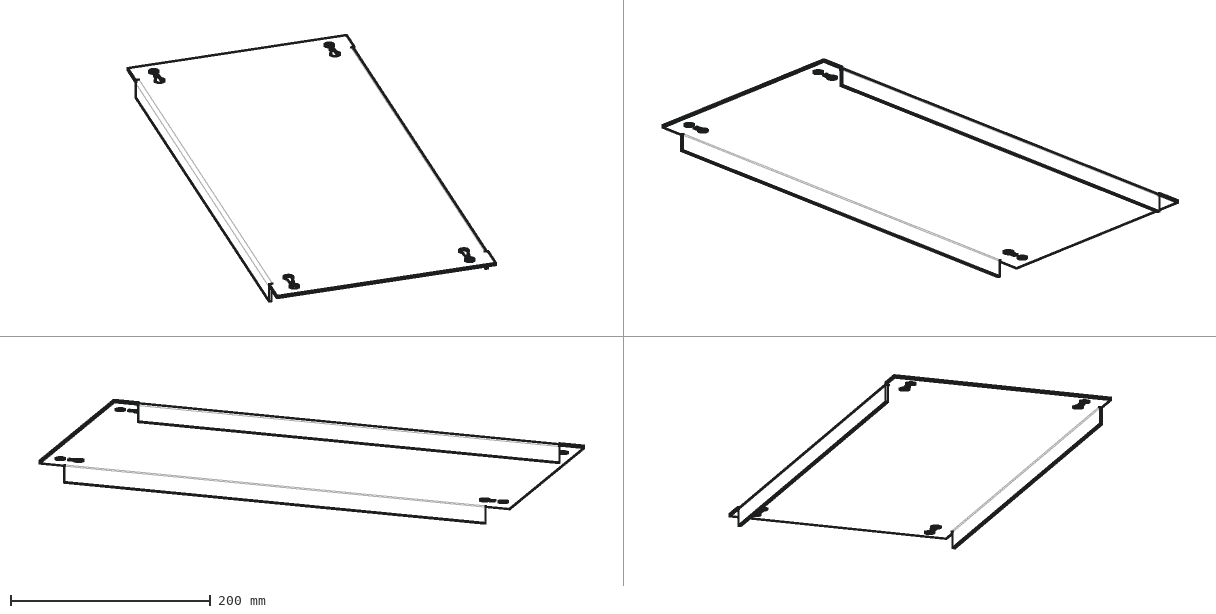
import cadquery as cq

PLATE_LENGTH = 497.5
PLATE_WIDTH = 229.5
OVERALL_HEIGHT = 20.0
SHEET_THICKNESS = 2.5

FLANGE_END_INSET = 26.0
FLANGE_LENGTH = PLATE_LENGTH - 2 * FLANGE_END_INSET
BEND_INNER_RADIUS = 1.0
BEND_OUTER_RADIUS = BEND_INNER_RADIUS + SHEET_THICKNESS

OPENING_SIDE_INSET = 22.75
HOLE_DIAMETER = 9.5
HOLE_END_INSET = 14.5
KEYHOLE_DIAMETER = 9.75
KEYHOLE_END_INSET = 34.0
KEYHOLE_SLOT_WIDTH = 4.75
KEYHOLE_SLOT_TIP_INSET = 23.5


def make_folded_panel():
    """Channel with rounded folds, covering the length of the flanges."""
    inner_width = PLATE_WIDTH - 2 * SHEET_THICKNESS
    inner_height = OVERALL_HEIGHT - SHEET_THICKNESS

    def rounded_block(width, height, radius):
        return (
            cq.Workplane("XY")
            .box(FLANGE_LENGTH, width, height, centered=(True, True, False))
            .translate((0, 0, -OVERALL_HEIGHT))
            .edges("|X and >Z")
            .fillet(radius)
        )

    outer = rounded_block(PLATE_WIDTH, OVERALL_HEIGHT, BEND_OUTER_RADIUS)
    inner = rounded_block(inner_width, inner_height, BEND_INNER_RADIUS)
    return outer.cut(inner)


def make_end_tab(side):
    """Flat end strip of the plate beyond the flanges, on the -X or +X side."""
    centre_x = side * (PLATE_LENGTH - FLANGE_END_INSET) / 2
    return (
        cq.Workplane("XY")
        .box(FLANGE_END_INSET, PLATE_WIDTH, SHEET_THICKNESS, centered=(True, True, False))
        .translate((centre_x, 0, -SHEET_THICKNESS))
    )


def make_corner_openings(side_x, side_y):
    """Round hole and keyhole for one corner; the keyhole slot points to the plate end."""
    y = side_y * (PLATE_WIDTH / 2 - OPENING_SIDE_INSET)
    end_x = PLATE_LENGTH / 2
    hole_x = side_x * (end_x - HOLE_END_INSET)
    keyhole_x = side_x * (end_x - KEYHOLE_END_INSET)
    tip_x = side_x * (end_x - KEYHOLE_SLOT_TIP_INSET)
    slot_length = KEYHOLE_END_INSET - KEYHOLE_SLOT_TIP_INSET
    slot_x = (tip_x + keyhole_x) / 2

    base = cq.Workplane("XY")
    hole = base.center(hole_x, y).circle(HOLE_DIAMETER / 2).extrude(-SHEET_THICKNESS)
    head = base.center(keyhole_x, y).circle(KEYHOLE_DIAMETER / 2).extrude(-SHEET_THICKNESS)
    slot = base.center(slot_x, y).rect(slot_length, KEYHOLE_SLOT_WIDTH).extrude(-SHEET_THICKNESS)
    return hole.union(head).union(slot)


result = make_folded_panel()
for side_x in (-1, 1):
    result = result.union(make_end_tab(side_x))
for side_x in (-1, 1):
    for side_y in (-1, 1):
        result = result.cut(make_corner_openings(side_x, side_y))